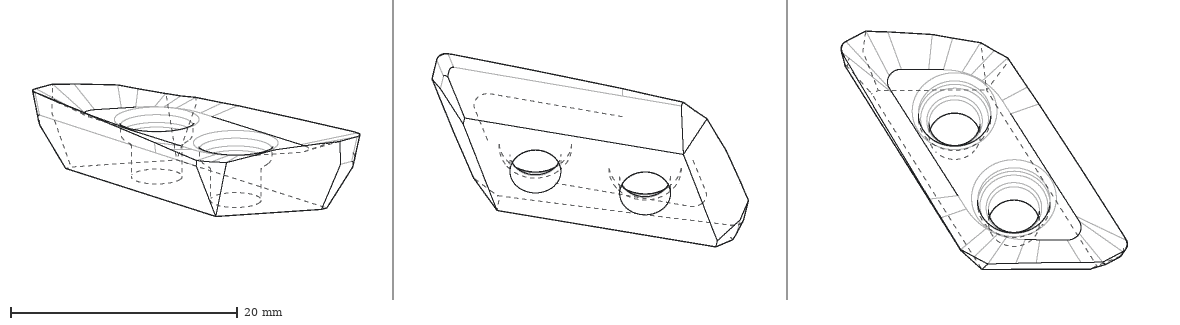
import cadquery as cq
import math

length = 30.0
width = 13.02
height = 7.0
floor_z = 5.28
stock_margin = 3.0
nose_radius = 0.85
half_length = length / 2
half_width = width / 2

base_x = 12.25
base_nose_y = -3.75
base_facet = (-7.47, 4.55, 0)

nose_break = (-14.37, 4.6)
band_break = (1.6, -6.35, 4.95)
band_nose_y = -6.25
base_flank_y = -4.4

nose_corner = (-half_length, -3.42, height)
facet_start = (-9.5, 5.13, 5.58)
facet_end = (-7.05, 6.48, 5.5)
band_split = (-1.6, half_width, 5.95)
nose_round_end = (14.15, 6.27, height)
nose_round_start = (half_length, 5.45, height)

floor_half_width = 4.02
floor_arc_radius = 6.0
floor_arc_x = -3.78
corner_radius = 1.23
corner_x = -9.8
rim_overrun = 0.35

hole_x = 4.98
hole_y = 0.15
mouth_radius = 3.75
neck_radius = 3.2
bore_radius = 2.25
neck_bottom_z = 4.02
seat_top = (3.0, 3.65)
seat_bottom = (2.45, 3.25)
seat_top_round = (3.15, 3.8)
seat_bottom_round = (2.3, 3.05)
bore_top_z = 2.82


def half_turn(point):
    return (-point[0], -point[1], point[2])


def trim(body, p, q, r):
    """Cut away both ends outside the plane through p, q and r and its half-turn twin."""
    origin = cq.Vector(*p)
    direction = cq.Vector(*q) - origin
    normal = direction.cross(cq.Vector(*r) - origin)
    axis_point = cq.Vector(0, 0, height / 2)
    if normal.dot(axis_point - origin) > 0:
        normal = -normal
    plane = cq.Plane(origin=origin, xDir=direction, normal=normal)
    size = 4 * length
    waste = cq.Workplane(plane).rect(size, size).extrude(size)
    return body.cut(waste).cut(waste.rotate((0, 0, 0), (0, 0, 1), 180))


def make_band_cutter():
    """Waste outside the twisted band, upright at the nose and leaning at the split."""
    nose_x = -half_length - stock_margin
    split_x, split_y, split_z = half_turn(band_split)
    _, break_y, break_z = band_break
    lean = (split_y - break_y) / (split_z - break_z)
    lid_z = height + stock_margin
    outer_y = -width
    nose_profile = [
        (nose_x, outer_y, 0),
        (nose_x, band_nose_y, 0),
        (nose_x, band_nose_y, lid_z),
        (nose_x, outer_y, lid_z),
    ]
    split_profile = [
        (split_x, outer_y, 0),
        (split_x, break_y - lean * break_z, 0),
        (split_x, break_y + lean * (lid_z - break_z), lid_z),
        (split_x, outer_y, lid_z),
    ]
    profiles = []
    for points in (nose_profile, split_profile):
        corners = [cq.Vector(*point) for point in points]
        profiles.append(cq.Wire.makePolygon(corners, close=True))
    return cq.Workplane(cq.Solid.makeLoft(profiles, True))


def make_blank():
    blank = cq.Workplane().box(
        length + stock_margin, width + stock_margin, height, centered=(True, True, False)
    )
    nose_x, nose_z = nose_break
    nose_top = (-half_length, 0, height)
    blank = trim(blank, nose_top, (-half_length, 0.3, height), (nose_x, 0, nose_z))
    front_split = half_turn(band_split)
    band_cutter = make_band_cutter()
    blank = blank.cut(band_cutter).cut(band_cutter.rotate((0, 0, 0), (0, 0, 1), 180))
    nose_tip = (-half_length, -half_width, height / 2)
    for tip in (nose_tip, half_turn(nose_tip)):
        blank = blank.edges(cq.NearestToPointSelector(tip)).fillet(nose_radius)
    blank = trim(blank, front_split, half_turn(facet_end), band_break)

    base_corner = (-base_x, base_nose_y, 0)
    blank = trim(blank, (nose_x, 0, nose_z), (nose_x, 0.3, nose_z), base_corner)
    blank = trim(blank, (-base_x, base_flank_y, 0), half_turn(base_facet), band_break)
    blank = trim(blank, base_corner, base_facet, nose_corner)
    return trim(blank, base_facet, facet_start, facet_end)


def on_arc(center_x, center_y, radius, degrees):
    angle = math.radians(degrees)
    return (center_x + radius * math.cos(angle), center_y + radius * math.sin(angle), floor_z)


def corner_point(degrees):
    return on_arc(corner_x, corner_radius - floor_half_width, corner_radius, degrees)


def end_point(degrees):
    return on_arc(floor_arc_x, floor_half_width - floor_arc_radius, floor_arc_radius, degrees)


def between(start, end, fraction):
    return tuple(a + (b - a) * fraction for a, b in zip(start, end))


def chip_stations():
    """Pairs of floor and rim points, with the floor arc midpoint to the next pair if curved."""
    corner_end = corner_point(150)
    arc_start = end_point(150)
    return [
        (corner_point(211), nose_corner, corner_point(180)),
        (corner_end, (-13.92, -1.77, 6.85), None),
        (between(corner_end, arc_start, 0.65), (-11.85, 1.53, 6.5), None),
        (arc_start, (-10.9, 3.05, 6.12), end_point(142)),
        (end_point(134), facet_start, end_point(130)),
        (end_point(126), (-8.25, 5.8, 5.5), end_point(120.5)),
        (end_point(115), facet_end, end_point(102.5)),
        (end_point(90), (-3.6, half_width, 5.75), None),
        ((-2.28, floor_half_width, floor_z), band_split, None),
        ((9.27, floor_half_width, floor_z), nose_round_end, None),
        (half_turn(corner_point(270)), nose_round_start, half_turn(corner_point(240.5))),
    ]


def join(start, end, middle=None):
    """Straight edge, or an arc if a middle point is given."""
    if middle:
        return cq.Edge.makeThreePointArc(cq.Vector(*start), cq.Vector(*middle), cq.Vector(*end))
    return cq.Edge.makeLine(cq.Vector(*start), cq.Vector(*end))


def nose_round_bulge(start, end):
    """Point outside the middle of the chord, so the chip face follows the round nose."""
    x, y, z = between(start, end, 0.5)
    chord = math.dist(start, end)
    bulge = chord * chord / (8 * nose_radius)
    outward = bulge / math.hypot(x, y)
    return (x * (1 + outward), y * (1 + outward), z)


def lift(point):
    return (point[0], point[1], height + stock_margin)


def make_chip_cutter():
    """Space above the floor and the sloping chip faces that rise or fall to the rim."""
    stations = chip_stations()
    for floor, rim, middle in chip_stations():
        stations.append((half_turn(floor), half_turn(rim), half_turn(middle) if middle else None))
    faces = []
    floor_edges = []
    lid_edges = []
    for index, (floor, rim, middle) in enumerate(stations):
        next_floor, next_rim, _ = stations[(index + 1) % len(stations)]
        outer = between(floor, rim, 1 + rim_overrun)
        next_outer = between(next_floor, next_rim, 1 + rim_overrun)
        outer_middle = None
        lid_middle = None
        if rim == nose_round_end or rim == half_turn(nose_round_end):
            outer_middle = nose_round_bulge(outer, next_outer)
            lid_middle = lift(outer_middle)
        inner_edge = join(floor, next_floor, middle)
        outer_edge = join(outer, next_outer, outer_middle)
        lid_edge = join(lift(outer), lift(next_outer), lid_middle)
        faces.append(cq.Face.makeRuledSurface(inner_edge, outer_edge))
        faces.append(cq.Face.makeRuledSurface(outer_edge, lid_edge))
        floor_edges.append(inner_edge)
        lid_edges.append(lid_edge)
    for edges in (floor_edges, lid_edges):
        faces.append(cq.Face.makeFromWires(cq.Wire.assembleEdges(edges)))
    return cq.Workplane(cq.Solid.makeSolid(cq.Shell.makeShell(faces)).fix())


def make_hole_cutter():
    """Rounded mouth, short neck and rounded, tapered screw seat above a plain bore."""
    lip_radius = mouth_radius - neck_radius
    lip_center_z = floor_z - lip_radius
    lip_middle = on_arc(mouth_radius, lip_center_z, lip_radius, 135)[:2]
    return (
        cq.Workplane("XZ")
        .lineTo(bore_radius, 0)
        .lineTo(bore_radius, bore_top_z)
        .threePointArc(seat_bottom_round, seat_bottom)
        .lineTo(*seat_top)
        .threePointArc(seat_top_round, (neck_radius, neck_bottom_z))
        .lineTo(neck_radius, lip_center_z)
        .threePointArc(lip_middle, (mouth_radius, floor_z))
        .lineTo(0, floor_z)
        .close()
        .revolve(360, (0, 0, 0), (0, 1, 0))
    )


result = make_blank().cut(make_chip_cutter())
hole_cutter = make_hole_cutter()
for side in (-1, 1):
    result = result.cut(hole_cutter.translate((side * hole_x, side * hole_y, 0)))